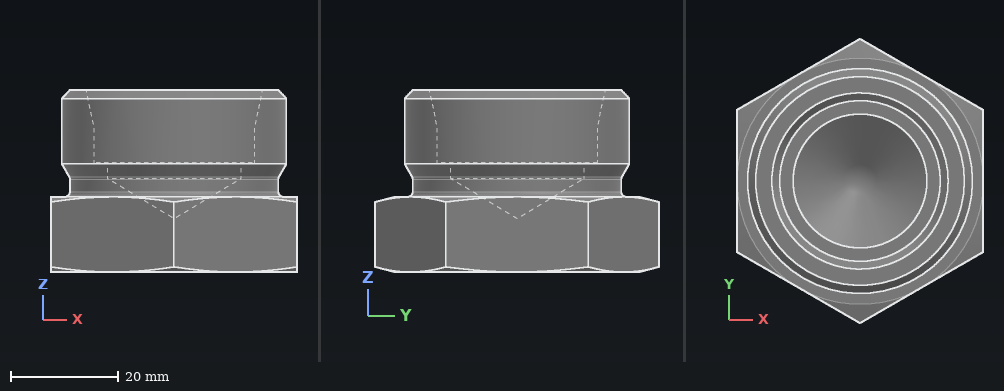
import cadquery as cq
import math

corner_diameter = 53.1
across_flats = corner_diameter * math.cos(math.radians(30))
hex_height = 14.0
hex_chamfer_angle = 15.0

total_height = 34.0
collar_radius = 42.0 / 2
neck_radius = 39.0 / 2
top_chamfer_height = 1.6
collar_bottom = 20.2
relief_angle = 30.0
neck_fillet = 1.0

mouth_radius = 32.95 / 2
bore_radius = 30.0 / 2
pocket_radius = 25.0 / 2
cone_bottom = 27.0
step_height = 20.5
pocket_floor = 17.55
drill_tip_angle = 118.0


def make_hexagon():
    """Hexagon with corners on Y, its corners bevelled at both ends."""
    prism = (
        cq.Workplane("XY")
        .polygon(6, corner_diameter)
        .extrude(hex_height)
        .rotate((0, 0, 0), (0, 0, 1), 30)
    )
    flat_radius = across_flats / 2
    bevel_run = corner_diameter / 2 - flat_radius
    bevel_drop = bevel_run * math.tan(math.radians(hex_chamfer_angle))
    envelope = (
        cq.Workplane("XZ")
        .lineTo(flat_radius, 0)
        .lineTo(corner_diameter / 2, bevel_drop)
        .lineTo(corner_diameter / 2, hex_height - bevel_drop)
        .lineTo(flat_radius, hex_height)
        .lineTo(0, hex_height)
        .close()
        .revolve(360, (0, 0, 0), (0, 1, 0))
    )
    return prism.intersect(envelope)


def make_collar():
    """Round collar with a relief neck that flares into the hexagon."""
    angle = math.radians(relief_angle)
    corner_z = collar_bottom - (collar_radius - neck_radius) / math.tan(angle)
    tangent_length = neck_fillet * math.tan(angle / 2)
    arc_bottom_z = corner_z - tangent_length
    arc_top_radius = neck_radius + tangent_length * math.sin(angle)
    arc_top_z = corner_z + tangent_length * math.cos(angle)
    return (
        cq.Workplane("XZ", origin=(0, 0, hex_height))
        .lineTo(neck_radius + neck_fillet, 0)
        .radiusArc((neck_radius, neck_fillet), neck_fillet)
        .lineTo(neck_radius, arc_bottom_z - hex_height)
        .radiusArc((arc_top_radius, arc_top_z - hex_height), neck_fillet)
        .lineTo(collar_radius, collar_bottom - hex_height)
        .lineTo(collar_radius, total_height - top_chamfer_height - hex_height)
        .lineTo(neck_radius, total_height - hex_height)
        .lineTo(0, total_height - hex_height)
        .close()
        .revolve(360, (0, 0, 0), (0, 1, 0))
    )


def make_bore():
    """Stepped bore ending in a conical drill tip."""
    tip_depth = pocket_radius / math.tan(math.radians(drill_tip_angle / 2))
    return (
        cq.Workplane("XZ")
        .moveTo(0, pocket_floor - tip_depth)
        .lineTo(pocket_radius, pocket_floor)
        .lineTo(pocket_radius, step_height)
        .lineTo(bore_radius, step_height)
        .lineTo(bore_radius, cone_bottom)
        .lineTo(mouth_radius, total_height)
        .lineTo(0, total_height)
        .close()
        .revolve(360, (0, 0, 0), (0, 1, 0))
    )


result = make_hexagon().union(make_collar()).cut(make_bore())